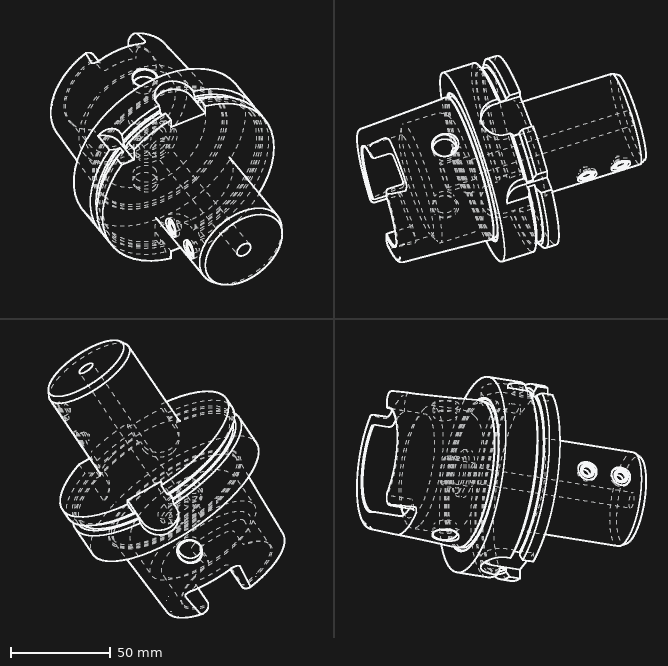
import cadquery as cq
import math

length = 135.0
flange_dia = 100.0
flange_start = 50.0
flange_end = 79.0

taper_large_radius = 37.7
taper_large_x = 47.4
taper_slope = 1 / 20
nose_round = 2.0
undercut_depth = 0.4
undercut_start = 48.2
face_relief_radius = 39.3
face_relief_floor_radius = 38.6
face_relief_depth = 0.5

groove_floor_radius = 46.0
groove_wall_radius = 47.5
groove_start = 66.7
groove_end = 73.3
groove_floor_start = 68.0
groove_floor_end = 71.5

shank_radius = 24.0
shank_root_fillet = 4.9
shank_chamfer_length = 3.1
shank_chamfer_height = 1.6

mouth_dia = 53.0
mouth_chamfer_dia = 53.9
mouth_chamfer_length = 0.7
lip_end = 20.0
recess_radius = 31.5
clamp_angle = 60
recess_end = 40.0
bore_floor_fillet = 6.8

nut_radius = 12.0
nut_chamfer = 1.2
nut_start = 42.5
tube_radius = 8.0
tube_tip_radius = 7.2
tube_start = 34.8
tube_tip_end = 37.7
tube_bore_dia = 12.0
tube_bore_end = 50.0
coolant_dia = 8.0

cross_hole_x = 35.1
cross_hole_dia = 12.0
cross_hole_chamfer = 0.8

drive_half_width = 10.0
drive_corner_radius = 4.7
drive_flat_height = 32.1
drive_floor_fillet = 2.0
slot_mouth_round = 1.6
top_drive_depth = 10.4
bottom_drive_depth = 15.1

key_half_width = 10.0
key_floor_height = 44.0
key_start = 55.0
notch_offset = 31.6
notch_radius = 9.5
notch_start = 54.8

screw_positions = (103.0, 121.0)
screw_hole_dia = 10.0
screw_face_dia = 7.0
screw_face_height = 23.5
socket_mouth_dia = 5.8
socket_dia = 5.0
socket_depth = 4.0
drill_tip_angle = 118

flange_radius = flange_dia / 2
mouth_radius = mouth_dia / 2


def taper_radius(x):
    return taper_large_radius - taper_slope * (taper_large_x - x)


def make_body():
    """Solid of revolution: taper, flange with gripper groove, and shank."""
    undercut_radius = taper_large_radius - undercut_depth
    fillet_diag = shank_root_fillet * (1 - math.sqrt(0.5))
    profile = (
        cq.Workplane("XY")
        .moveTo(0, 0)
        .lineTo(0, taper_radius(0))
        .lineTo(taper_large_x, taper_large_radius)
        .lineTo(undercut_start, taper_large_radius)
        .lineTo(undercut_start + undercut_depth, undercut_radius)
        .lineTo(flange_start + face_relief_depth, undercut_radius)
        .lineTo(flange_start + face_relief_depth, face_relief_floor_radius)
        .lineTo(flange_start, face_relief_radius)
        .lineTo(flange_start, flange_radius)
        .lineTo(groove_start, flange_radius)
        .lineTo(groove_floor_start, groove_wall_radius)
        .lineTo(groove_floor_start, groove_floor_radius)
        .lineTo(groove_floor_end, groove_floor_radius)
        .lineTo(groove_floor_end, groove_wall_radius)
        .lineTo(groove_end, flange_radius)
        .lineTo(flange_end, flange_radius)
        .lineTo(flange_end, shank_radius + shank_root_fillet)
        .threePointArc(
            (flange_end + fillet_diag, shank_radius + fillet_diag),
            (flange_end + shank_root_fillet, shank_radius),
        )
        .lineTo(length - shank_chamfer_length, shank_radius)
        .lineTo(length, shank_radius - shank_chamfer_height)
        .lineTo(length, 0)
        .close()
    )
    return profile.revolve(360, (0, 0, 0), (1, 0, 0))


def make_clamping_bore():
    """Cavity of the hollow taper, leaving the coolant tube and its nut standing."""
    cone_length = (recess_radius - mouth_radius) / math.tan(math.radians(clamp_angle))
    floor_x = recess_end + bore_floor_fillet
    floor_radius = recess_radius - bore_floor_fillet
    fillet_diag = bore_floor_fillet * math.sqrt(0.5)
    profile = (
        cq.Workplane("XY")
        .moveTo(0, 0)
        .lineTo(0, mouth_chamfer_dia / 2)
        .lineTo(mouth_chamfer_length, mouth_radius)
        .lineTo(lip_end, mouth_radius)
        .lineTo(lip_end + cone_length, recess_radius)
        .lineTo(recess_end, recess_radius)
        .threePointArc(
            (recess_end + fillet_diag, floor_radius + fillet_diag),
            (floor_x, floor_radius),
        )
        .lineTo(floor_x, nut_radius)
        .lineTo(nut_start + nut_chamfer, nut_radius)
        .lineTo(nut_start, nut_radius - nut_chamfer)
        .lineTo(nut_start, tube_radius)
        .lineTo(tube_tip_end, tube_radius)
        .lineTo(tube_start, tube_tip_radius)
        .lineTo(tube_start, 0)
        .close()
    )
    return profile.revolve(360, (0, 0, 0), (1, 0, 0))


def axial_hole(diameter, depth):
    return cq.Workplane("YZ").circle(diameter / 2).extrude(depth)


def make_drive_slot(depth, side):
    """Slot across the nose wall; side is +1 for the +Z wall and -1 for the -Z wall."""
    corner_y = drive_half_width + drive_corner_radius
    corner_z = drive_flat_height - drive_corner_radius
    arc_y = corner_y - drive_corner_radius * math.sqrt(0.5)
    arc_z = corner_z + drive_corner_radius * math.sqrt(0.5)
    inner_z = mouth_radius / 2
    outer_y = flange_radius
    outer_z = flange_radius
    slot = (
        cq.Workplane("YZ")
        .moveTo(-drive_half_width, side * inner_z)
        .lineTo(drive_half_width, side * inner_z)
        .lineTo(drive_half_width, side * corner_z)
        .threePointArc((arc_y, side * arc_z), (corner_y, side * drive_flat_height))
        .lineTo(outer_y, side * drive_flat_height)
        .lineTo(outer_y, side * outer_z)
        .lineTo(-outer_y, side * outer_z)
        .lineTo(-outer_y, side * drive_flat_height)
        .lineTo(-corner_y, side * drive_flat_height)
        .threePointArc((-arc_y, side * arc_z), (-drive_half_width, side * corner_z))
        .close()
        .extrude(depth)
    )
    return slot.faces(">X").edges().fillet(drive_floor_fillet)


def make_cross_hole(side):
    """Chamfered radial hole through one wall of the taper."""
    radius = cross_hole_dia / 2
    surface = taper_radius(cross_hole_x)
    chamfer_root = surface - cross_hole_chamfer
    outer = surface + cross_hole_chamfer
    profile = (
        cq.Workplane("XZ", origin=(cross_hole_x, 0, 0))
        .moveTo(0, side * mouth_radius)
        .lineTo(radius, side * mouth_radius)
        .lineTo(radius, side * chamfer_root)
        .lineTo(radius + outer - chamfer_root, side * outer)
        .lineTo(0, side * outer)
        .close()
    )
    return profile.revolve(360, (0, 0, 0), (0, 1, 0))


def make_keyway(side):
    """Round-ended flat-bottomed keyway that runs out of the back of the flange."""
    centre_x = key_start + key_half_width
    slot = (
        cq.Workplane("XY", origin=(0, 0, side * key_floor_height))
        .moveTo(flange_end, key_half_width)
        .lineTo(centre_x, key_half_width)
        .threePointArc((key_start, 0), (centre_x, -key_half_width))
        .lineTo(flange_end, -key_half_width)
        .close()
    )
    return slot.extrude(side * flange_radius)


def make_corner_notch():
    """Right-angled notch in the -Y +Z quarter of the flange, with a rounded blind end."""
    centre_x = notch_start + notch_radius
    centre_y = notch_offset + notch_radius
    diag = notch_radius * math.sqrt(0.5)
    notch = (
        cq.Workplane("XY", origin=(0, 0, notch_offset))
        .moveTo(flange_end, -notch_offset)
        .lineTo(centre_x, -notch_offset)
        .threePointArc((centre_x - diag, -centre_y + diag), (notch_start, -centre_y))
        .lineTo(notch_start, -flange_radius)
        .lineTo(flange_end, -flange_radius)
        .close()
    )
    return notch.extrude(flange_radius)


def make_screw_recess(x):
    """Space around and inside one chamfered screw sunk into the -Y side of the shank."""
    hole_radius = screw_hole_dia / 2
    face_radius = screw_face_dia / 2
    seam = screw_face_height - (hole_radius - face_radius)
    socket_radius = socket_dia / 2
    socket_chamfer = (socket_mouth_dia - socket_dia) / 2
    socket_floor = screw_face_height - socket_depth
    tip = socket_floor - socket_radius / math.tan(math.radians(drill_tip_angle / 2))
    profile = (
        cq.Workplane("XY", origin=(x, 0, 0))
        .moveTo(0, -tip)
        .lineTo(socket_radius, -socket_floor)
        .lineTo(socket_radius, socket_chamfer - screw_face_height)
        .lineTo(socket_mouth_dia / 2, -screw_face_height)
        .lineTo(face_radius, -screw_face_height)
        .lineTo(hole_radius, -seam)
        .lineTo(hole_radius, -shank_radius)
        .lineTo(0, -shank_radius)
        .close()
    )
    return profile.revolve(360, (0, 0, 0), (0, 1, 0))


def make_slotted_envelope():
    """Plain cylinder around the part, with both drive slots and their rounded mouths."""
    envelope = cq.Workplane("YZ").circle(flange_radius).extrude(length)
    for depth, side in ((top_drive_depth, 1), (bottom_drive_depth, -1)):
        envelope = envelope.cut(make_drive_slot(depth, side))
    reach_y = drive_half_width + drive_corner_radius
    walls = cq.selectors.BoxSelector(
        (-slot_mouth_round, -reach_y, -drive_flat_height),
        (slot_mouth_round, reach_y, drive_flat_height),
    )
    return envelope.faces("<X").edges(walls).edges("not |Y").fillet(slot_mouth_round)


body = make_body().faces("<X").edges().fillet(nose_round)
body = body.intersect(make_slotted_envelope())
body = body.cut(make_clamping_bore())
body = body.cut(axial_hole(tube_bore_dia, tube_bore_end))
body = body.cut(axial_hole(coolant_dia, length))
for side in (1, -1):
    body = body.cut(make_cross_hole(side))
    body = body.cut(make_keyway(side))
body = body.cut(make_corner_notch())
for x in screw_positions:
    body = body.cut(make_screw_recess(x))

result = body